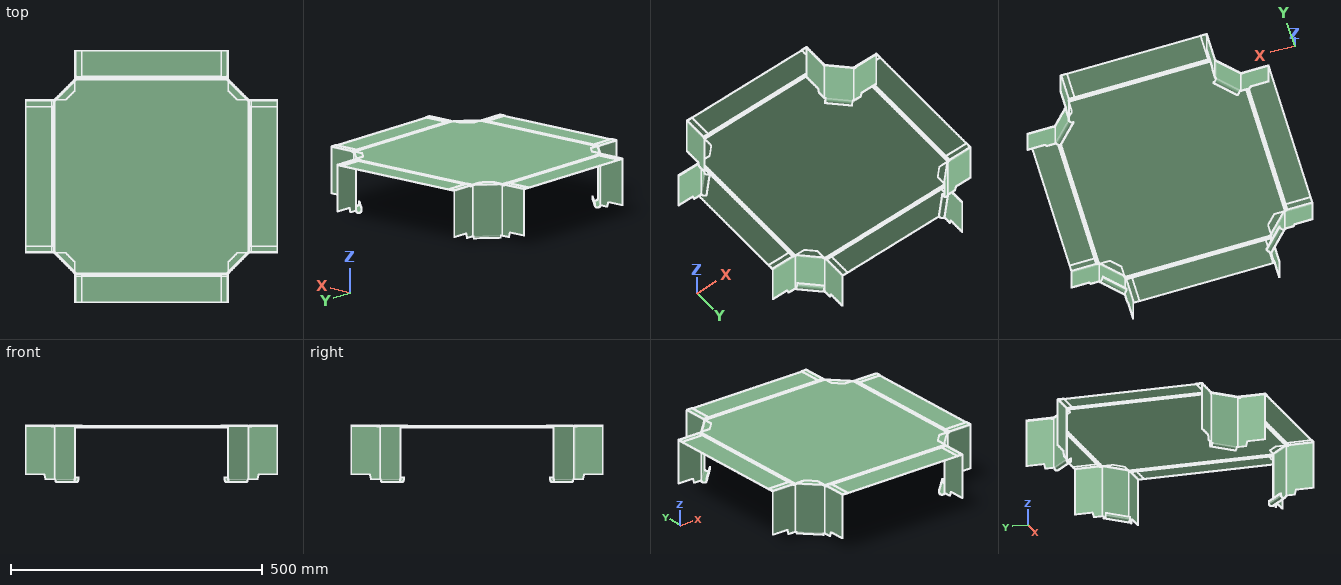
import cadquery as cq
import math

span = 500.0
sheet = 1.0
height = 113.0
arm_half_width = 152.0
hub_half = 193.0
flange_width = 13.5
bend_radius = 2.0

groove_width = 5.0
groove_depth = 2.0
groove_slope_run = 1.25

upright_radius = 1.5
tip_bottom = -97.0
step_top_x = 213.0
step_bottom_x = 210.5
tab_depth = 16.0
fold_length = 54.0
hook_radius = 6.0
lip_top = -103.0

arm_tip = span / 2
cover_top = -sheet
cover_bottom = cover_top - sheet
arm_sheet_half_width = arm_half_width - bend_radius
flange_edge = arm_half_width - flange_width
diagonal_face = (hub_half + arm_half_width) / math.sqrt(2)
diagonal_length = (hub_half - arm_half_width) * math.sqrt(2)
bend_x = diagonal_face - bend_radius
wing_bottom = hook_radius - height
wing_start = hub_half + upright_radius


def box(x0, x1, y0, y1, z0, z1):
    return cq.Workplane("XY").box(x1 - x0, y1 - y0, z1 - z0, centered=False).translate((x0, y0, z0))


def quarter_turns(body):
    """Four copies of a body, a quarter turn apart about Z."""
    return [body.rotate((0, 0, 0), (0, 0, 1), 90 * quarter) for quarter in range(4)]


def make_groove(upper_z, side_shift):
    """Trapezoidal bar across the arm that reaches one groove depth below upper_z."""
    outer_start = hub_half - side_shift
    outer_end = hub_half + groove_width + side_shift
    return (
        cq.Workplane("XZ")
        .polyline([
            (outer_start, upper_z),
            (outer_start + groove_slope_run, upper_z - groove_depth),
            (outer_end - groove_slope_run, upper_z - groove_depth),
            (outer_end, upper_z),
        ])
        .close()
        .extrude(arm_sheet_half_width, both=True)
    )


def make_cover():
    hub = box(-hub_half, hub_half, -hub_half, hub_half, cover_bottom, cover_top)
    diagonal_square = box(-bend_x, bend_x, -bend_x, bend_x, cover_bottom, cover_top)
    cover = hub.intersect(diagonal_square.rotate((0, 0, 0), (0, 0, 1), 45))

    arm = box(hub_half, arm_tip, -arm_sheet_half_width, arm_sheet_half_width, cover_bottom, cover_top)
    for turned_arm in quarter_turns(arm):
        cover = cover.union(turned_arm)

    slope_angle = math.atan2(groove_depth, groove_slope_run)
    underside = make_groove(cover_bottom, sheet * math.tan(slope_angle / 2))
    for turned_underside in quarter_turns(underside):
        cover = cover.union(turned_underside)
    for turned_groove in quarter_turns(make_groove(cover_top, 0)):
        cover = cover.cut(turned_groove)
    return cover


def make_wing():
    """Wall along the +Y side of the +X arm, with its flange folded over the arm."""
    wall = (
        cq.Workplane("XZ", origin=(0, arm_half_width, 0))
        .polyline([
            (wing_start, 0),
            (arm_tip, 0),
            (arm_tip, tip_bottom),
            (step_top_x, tip_bottom),
            (step_bottom_x, wing_bottom),
            (wing_start, wing_bottom),
        ])
        .close()
        .extrude(sheet)
    )
    flange = box(wing_start, arm_tip, flange_edge, arm_half_width, cover_top, 0)
    corner_block = box(
        wing_start, arm_tip, arm_half_width - bend_radius, arm_half_width, -bend_radius, 0
    )
    bend = (
        cq.Workplane("YZ", origin=(wing_start, 0, 0))
        .center(arm_half_width - bend_radius, -bend_radius)
        .circle(bend_radius)
        .circle(bend_radius - sheet)
        .extrude(arm_tip - wing_start)
    )
    return wall.union(flange).cut(corner_block).union(bend.intersect(corner_block))


def make_upright_wall():
    """Diagonal wall with the two upright bends that lead into the wings."""
    inner_face = arm_half_width - sheet
    inner_corner = hub_half - sheet * math.tan(math.radians(45 / 2))
    upright_top = -bend_radius
    wall = (
        cq.Workplane("XY", origin=(0, 0, wing_bottom))
        .polyline([
            (wing_start, arm_half_width),
            (hub_half, arm_half_width),
            (arm_half_width, hub_half),
            (arm_half_width, wing_start),
            (inner_face, wing_start),
            (inner_face, inner_corner),
            (inner_corner, inner_face),
            (wing_start, inner_face),
        ])
        .close()
        .extrude(upright_top - wing_bottom)
    )
    middle_z = (wing_bottom + upright_top) / 2
    for x, y in [(hub_half, arm_half_width), (arm_half_width, hub_half)]:
        wall = wall.edges(cq.NearestToPointSelector((x, y, middle_z))).fillet(upright_radius)
    return wall


def make_folded_strip():
    """Top bend, wall and upward-open hook in one strip, built facing +X."""
    hook_middle_x = diagonal_face - hook_radius
    lip_x = hook_middle_x - hook_radius
    wall_inner_x = diagonal_face - sheet
    return (
        cq.Workplane("XZ")
        .moveTo(bend_x, 0)
        .radiusArc((diagonal_face, -bend_radius), bend_radius)
        .lineTo(diagonal_face, wing_bottom)
        .threePointArc((hook_middle_x, -height), (lip_x, wing_bottom))
        .lineTo(lip_x, lip_top)
        .lineTo(lip_x + sheet, lip_top)
        .lineTo(lip_x + sheet, wing_bottom)
        .threePointArc((hook_middle_x, sheet - height), (wall_inner_x, wing_bottom))
        .lineTo(wall_inner_x, -bend_radius)
        .radiusArc((bend_x, cover_top), -(bend_radius - sheet))
        .close()
        .extrude(fold_length / 2, both=True)
    )


def make_tab():
    """Tapered tab resting on the hub, built facing +X."""
    tab_end_x = diagonal_face - tab_depth
    half_end = diagonal_length / 2 - tab_depth
    return (
        cq.Workplane("XY", origin=(0, 0, cover_top))
        .polyline([
            (bend_x, -fold_length / 2),
            (bend_x, fold_length / 2),
            (tab_end_x, half_end),
            (tab_end_x, -half_end),
        ])
        .close()
        .extrude(sheet)
    )


def make_corner():
    wing = make_wing()
    other_wing = wing.mirror("XZ").rotate((0, 0, 0), (0, 0, 1), 90)
    folded = make_folded_strip().union(make_tab()).rotate((0, 0, 0), (0, 0, 1), 45)
    return make_upright_wall().union(wing).union(other_wing).union(folded)


cover = make_cover()
corners = quarter_turns(make_corner())

result = cq.Compound.makeCompound([cover.val(), *[corner.val() for corner in corners]])